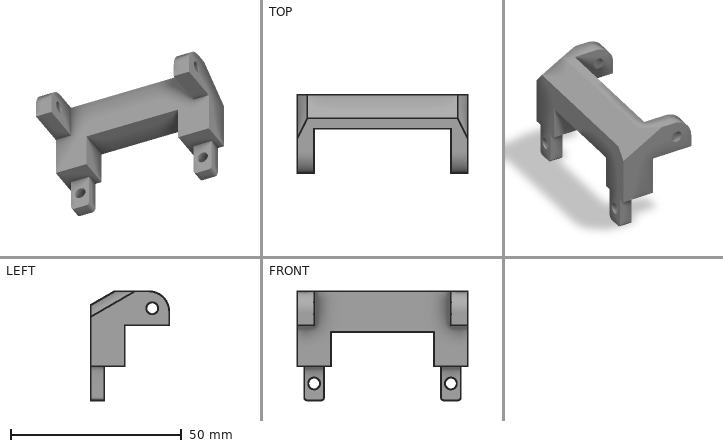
import cadquery as cq
import math

width = 50.0
depth = 23.0
height = 32.0

body_depth = 10.0
leg_width = 10.0
leg_bottom = 10.0
bridge_bottom = 20.0

arm_width = 5.0
arm_bottom = 22.0
arm_radius = 6.0
pivot_inset = 5.0
hole_diameter = 3.4

bevel_run = 7.0
bevel_angle = math.radians(30)
end_chamfer = 3.0

tab_width = 5.9
tab_thickness = 4.0
tab_corner_radius = 1.0
tab_hole_height = 5.0

tab_center = width / 2 - leg_width / 2
bevel_drop = bevel_run * math.tan(bevel_angle)


def make_body():
    """Side profile of body and arms, hollowed between the arms and the legs."""
    arc_offset = arm_radius * math.sqrt(0.5)
    profile = (
        cq.Workplane("YZ")
        .moveTo(0, leg_bottom)
        .lineTo(-body_depth, leg_bottom)
        .lineTo(-body_depth, arm_bottom)
        .lineTo(-depth, arm_bottom)
        .lineTo(-depth, height - arm_radius)
        .threePointArc(
            (-depth + arm_radius - arc_offset, height - arm_radius + arc_offset),
            (-depth + arm_radius, height),
        )
        .lineTo(-bevel_run, height)
        .lineTo(0, height - bevel_drop)
        .close()
        .extrude(width / 2, both=True)
    )
    arm_gap = cq.Workplane().box(
        width - 2 * arm_width, depth - body_depth, height, centered=(True, False, False)
    ).translate((0, -depth, 0))
    leg_gap = cq.Workplane().box(
        width - 2 * leg_width, depth, bridge_bottom, centered=(True, False, False)
    ).translate((0, -depth, 0))
    return profile.cut(arm_gap).cut(leg_gap)


def make_end_cutter():
    """Diamond bar along the bevel slope; one of its faces chamfers the +X end."""
    slope_direction = (0, -math.cos(bevel_angle), math.sin(bevel_angle))
    plane = cq.Plane(
        origin=(width / 2, 0, height - bevel_drop), xDir=(1, 0, 0), normal=slope_direction
    )
    return (
        cq.Workplane(plane)
        .polyline([(-end_chamfer, 0), (0, -end_chamfer), (end_chamfer, 0), (0, end_chamfer)])
        .close()
        .extrude(depth, both=True)
    )


def make_tab(center_x):
    """Tab with rounded lower corners and a hole through its thickness, flush with the back face."""
    tab = (
        cq.Workplane()
        .box(tab_width, tab_thickness, leg_bottom, centered=(True, False, False))
        .translate((center_x, -tab_thickness, 0))
        .edges("|Y and <Z")
        .fillet(tab_corner_radius)
    )
    hole = (
        cq.Workplane("XZ")
        .center(center_x, tab_hole_height)
        .circle(hole_diameter / 2)
        .extrude(tab_thickness)
    )
    return tab.cut(hole)


pivot_hole = (
    cq.Workplane("YZ")
    .center(-depth + pivot_inset, height - pivot_inset)
    .circle(hole_diameter / 2)
    .extrude(width / 2, both=True)
)
end_cutter = make_end_cutter()

result = make_body().cut(pivot_hole)
result = result.cut(end_cutter).cut(end_cutter.mirror("YZ"))
for side in (-1, 1):
    result = result.union(make_tab(side * tab_center))